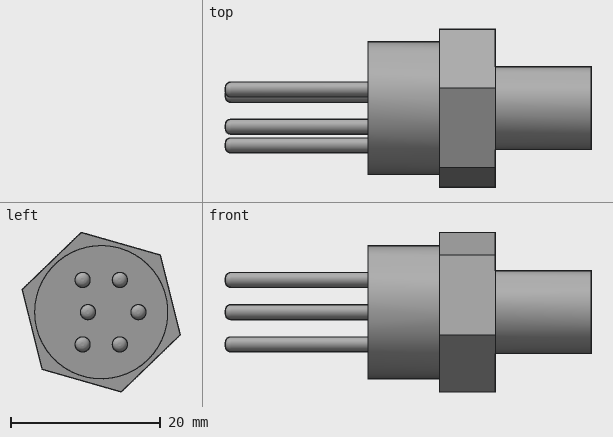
import cadquery as cq
import math

pin_length = 19.05
body_length = 9.55
hex_length = 7.5
tail_length = 12.8

body_diameter = 17.8
tail_diameter = 11.1
hex_across_flats = 19.05
hex_tilt = 14.04
pin_diameter = 2.032
pin_tip_radius = 0.762

pin_circle_radius = 4.97
pin_circle_angles = (60, 120, 180, 240, 300)
inner_pin_y = 1.77

hex_start = body_length
tail_start = hex_start + hex_length


def plane_at(x):
    """Plane facing +X whose local axes are global Y and Z."""
    return cq.Plane(origin=(x, 0, 0), xDir=(0, 1, 0), normal=(1, 0, 0))


def cylinder(x, diameter, length):
    return cq.Workplane(plane_at(x)).circle(diameter / 2).extrude(length)


def hex_collar():
    corner_diameter = hex_across_flats / math.cos(math.radians(30))
    first_corner_angle = 90 - hex_tilt
    collar = cq.Workplane(plane_at(hex_start)).polygon(6, corner_diameter).extrude(hex_length)
    return collar.rotate((0, 0, 0), (1, 0, 0), first_corner_angle)


def pin(y, z):
    """Contact pin with a rounded tip on the -X end."""
    blank = cylinder(-pin_length, pin_diameter, pin_length)
    return blank.faces("<X").edges().fillet(pin_tip_radius).translate((0, y, z))


def pin_positions():
    positions = [(inner_pin_y, 0)]
    for angle in pin_circle_angles:
        turn = math.radians(angle)
        positions.append((pin_circle_radius * math.cos(turn), pin_circle_radius * math.sin(turn)))
    return positions


result = cylinder(0, body_diameter, body_length)
result = result.union(hex_collar())
result = result.union(cylinder(tail_start, tail_diameter, tail_length))
for pin_y, pin_z in pin_positions():
    result = result.union(pin(pin_y, pin_z))